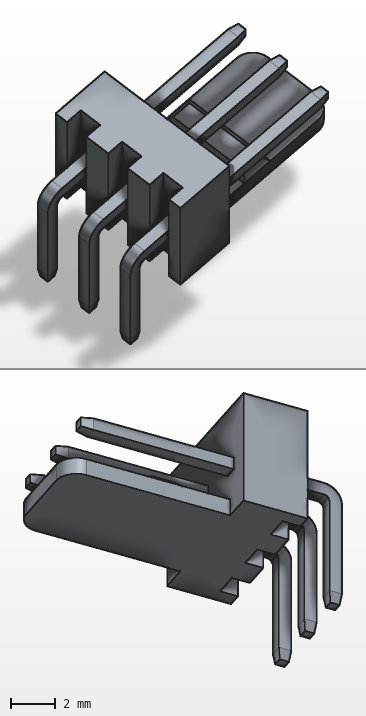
import cadquery as cq


OVERALL_LENGTH = 13.62

HOUSING_WIDTH = 7.65
HOUSING_DEPTH = 3.2
HOUSING_HEIGHT = 5.8
SLOT_WIDTH = 1.18
SLOT_DEPTH = 0.9

TONGUE_LENGTH = 8.2
TONGUE_WIDTH = 5.0
TONGUE_THICKNESS = 0.86
TONGUE_CORNER_RADIUS = 1.0

BUMP_HEIGHT = 0.33
BUMP_LENGTH = 1.72
BUMP_OFFSET = 2.38

PIN_COUNT = 3
PIN_PITCH = 2.53
PIN_SIZE = 0.63
PIN_AXIS_HEIGHT = 2.6
PIN_REACH = 7.6
PIN_DROP = 3.39
PIN_BEND_INNER_RADIUS = 0.31
TIP_LENGTH = 0.59
TIP_SIZE = 0.46

PIN_HALF = PIN_SIZE / 2
HOUSING_REAR_Y = -HOUSING_DEPTH
LEG_AXIS_Y = TONGUE_LENGTH - OVERALL_LENGTH + PIN_HALF
PIN_BEND_RADIUS = PIN_BEND_INNER_RADIUS + PIN_HALF
PIN_XS = [(index - (PIN_COUNT - 1) / 2) * PIN_PITCH for index in range(PIN_COUNT)]


def box(width, length, height, x, y, z):
    """Box centred on x, starting at y and z and growing along +Y and +Z."""
    return cq.Workplane("XY").box(width, length, height, centered=(True, False, False)).translate((x, y, z))


def make_block():
    """Housing block with a full-height slot behind each pin."""
    block = box(HOUSING_WIDTH, HOUSING_DEPTH, HOUSING_HEIGHT, 0, HOUSING_REAR_Y, 0)
    for x in PIN_XS:
        block = block.cut(box(SLOT_WIDTH, SLOT_DEPTH, HOUSING_HEIGHT, x, HOUSING_REAR_Y, 0))
    return block


def make_tongue():
    """Flat tongue with its two free corners rounded."""
    tongue = box(TONGUE_WIDTH, TONGUE_LENGTH, TONGUE_THICKNESS, 0, 0, 0)
    return tongue.edges("|Z and >Y").fillet(TONGUE_CORNER_RADIUS)


def make_bump():
    """Latch bump across the full tongue width."""
    flank_width = BUMP_HEIGHT
    base_centre_y = BUMP_OFFSET + BUMP_LENGTH / 2
    return (
        cq.Workplane("XY", origin=(0, base_centre_y, TONGUE_THICKNESS))
        .rect(TONGUE_WIDTH, BUMP_LENGTH)
        .workplane(offset=BUMP_HEIGHT)
        .rect(TONGUE_WIDTH - 2 * flank_width, BUMP_LENGTH - 2 * flank_width)
        .loft(ruled=True)
    )


def make_housing(pins):
    """Block, tongue and bump as one moulding, with a fitting hole for every pin."""
    housing = make_block().union(make_tongue()).union(make_bump())
    for pin in pins:
        housing = housing.cut(pin)
    return housing


def make_tip(plane):
    """Tapered square tip growing along the normal of the given plane."""
    return (
        cq.Workplane(plane)
        .rect(PIN_SIZE, PIN_SIZE)
        .workplane(offset=TIP_LENGTH)
        .rect(TIP_SIZE, TIP_SIZE)
        .loft(ruled=True)
    )


def make_pin(x):
    """Square pin along Y, bent down into a leg behind the housing, tapered at both ends."""
    contact_end = (x, PIN_REACH - TIP_LENGTH, PIN_AXIS_HEIGHT)
    leg_end = (x, LEG_AXIS_Y, TIP_LENGTH - PIN_DROP)
    contact_plane = cq.Plane(origin=contact_end, xDir=(1, 0, 0), normal=(0, 1, 0))
    leg_plane = cq.Plane(origin=leg_end, xDir=(1, 0, 0), normal=(0, 0, -1))

    axis = (
        cq.Workplane("YZ", origin=(x, 0, 0))
        .moveTo(contact_end[1], PIN_AXIS_HEIGHT)
        .lineTo(LEG_AXIS_Y + PIN_BEND_RADIUS, PIN_AXIS_HEIGHT)
        .tangentArcPoint((LEG_AXIS_Y, PIN_AXIS_HEIGHT - PIN_BEND_RADIUS), relative=False)
        .lineTo(LEG_AXIS_Y, leg_end[2])
    )
    shank = cq.Workplane(contact_plane).rect(PIN_SIZE, PIN_SIZE).sweep(axis)
    return shank.union(make_tip(contact_plane)).union(make_tip(leg_plane))


pins = [make_pin(x) for x in PIN_XS]
housing = make_housing(pins)

result = cq.Compound.makeCompound([housing.val(), *[pin.val() for pin in pins]])